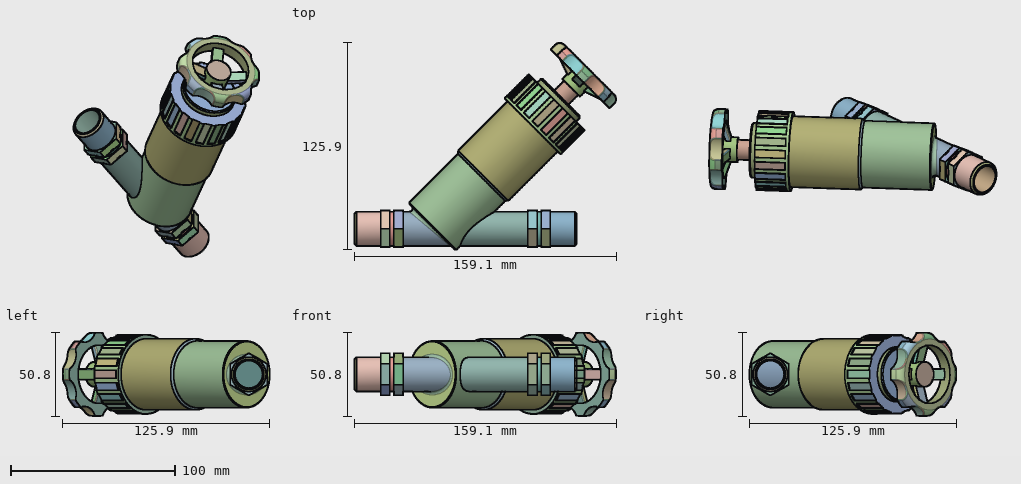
import cadquery as cq
import math

pipe_diameter = 21.0
bore_diameter = 16.7
pipe_start = -46.0
pipe_length = 135.0
pipe_end_chamfer = 1.3

hex_across_flats = 22.3
hex_across_corners = hex_across_flats / math.cos(math.pi / 6)
hex_width = 5.5
hex_offsets = (15.9, 24.0)

body_angle = 45.0
lower_diameter = 40.7
lower_base = 1.8
lower_top = 44.2
lower_edge_chamfer = 0.5
pipe_joint_fillet = 1.9
upper_diameter = 43.3
upper_base = 45.7
ring_diameter = 48.4
ring_base = 88.1
ring_height = 2.0
collar_top = 108.8
groove_count = 20
groove_width = 4.8
groove_depth = 0.6
cap_diameter = 33.5
cap_top = 112.8
cap_chamfer = 0.8
stem_diameter = 12.3

hub_diameter = 15.3
hub_base = 121.2
hub_top = 132.8
wheel_diameter = 50.8
wheel_radius = wheel_diameter / 2
wheel_base = 128.9
wheel_top = 136.8
wheel_edge_radius = 3.8
wheel_opening_diameter = 35.3
lobe_count = 8
lobe_width = 6.7
scallop_floor_radius = 22.0
scallop_edge_fillet = 0.6
spoke_count = 4
spoke_width = lobe_width
spoke_base = 125.4
spoke_height = 3.3
spoke_fillet = 0.6


def cylinder(diameter, base, top):
    """Round solid on the Z axis between two heights."""
    return cq.Workplane("XY").workplane(offset=base).circle(diameter / 2).extrude(top - base)


def polar(radius, angle):
    return radius * math.cos(angle), radius * math.sin(angle)


def incline(solid):
    """Lay a solid built along Z onto the inclined body axis; its X axis then points to +Z."""
    axis = math.radians(body_angle)
    plane = cq.Plane(
        origin=(0, 0, 0),
        xDir=(0, 0, 1),
        normal=(math.cos(axis), math.sin(axis), 0),
    )
    return cq.Workplane(obj=solid.val().moved(cq.Location(plane)))


def make_run_pipe():
    return (
        cq.Workplane("YZ")
        .workplane(offset=pipe_start)
        .circle(pipe_diameter / 2)
        .extrude(pipe_length)
        .faces("<X or >X")
        .chamfer(pipe_end_chamfer)
    )


def make_hex_collars():
    collars = cq.Workplane("YZ")
    for offset in hex_offsets:
        for start in (pipe_start + offset, pipe_start + pipe_length - offset - hex_width):
            collar = (
                cq.Workplane("YZ")
                .workplane(offset=start)
                .transformed(rotate=(0, 0, 90))
                .polygon(6, hex_across_corners)
                .extrude(hex_width)
            )
            collars = collars.add(collar)
    return collars.combine()


def make_bores():
    """Bore through the pipe, interrupted by the solid lower body."""
    bore = cq.Workplane("YZ").workplane(offset=pipe_start).circle(bore_diameter / 2).extrude(pipe_length)
    return bore.cut(incline(cylinder(lower_diameter, lower_base, lower_top)))


def make_lower_body():
    return cylinder(lower_diameter, lower_base, lower_top).faces("<Z").chamfer(lower_edge_chamfer)


def make_upper_body():
    """Stepped round upper body, its transition cone, the grooved collar, the cap and the stem."""
    outline = [
        (0, lower_top),
        (lower_diameter / 2, lower_top),
        (upper_diameter / 2, upper_base),
        (upper_diameter / 2, ring_base),
        (ring_diameter / 2, ring_base),
        (ring_diameter / 2, collar_top),
        (cap_diameter / 2, collar_top),
        (cap_diameter / 2, cap_top - cap_chamfer),
        (cap_diameter / 2 - cap_chamfer, cap_top),
        (stem_diameter / 2, cap_top),
        (stem_diameter / 2, hub_base),
        (0, hub_base),
    ]
    body = cq.Workplane("XZ").polyline(outline).close().revolve(360, (0, 0), (0, 1))
    groove_base = ring_base + ring_height
    groove_radius = ring_diameter / 2 - groove_depth
    grooves = (
        cq.Workplane("XY")
        .workplane(offset=groove_base)
        .polarArray(groove_radius + groove_depth, 0, 360, groove_count)
        .rect(2 * groove_depth, groove_width)
        .extrude(collar_top - groove_base)
    )
    return body.cut(grooves)


def make_rim():
    """Lobed handwheel rim with a rounded outer top edge."""
    arc_inset = wheel_edge_radius * (1 - math.sqrt(0.5))
    opening_radius = wheel_opening_diameter / 2
    rim = (
        cq.Workplane("XZ")
        .moveTo(opening_radius, wheel_base)
        .lineTo(wheel_radius, wheel_base)
        .lineTo(wheel_radius, wheel_top - wheel_edge_radius)
        .threePointArc(
            (wheel_radius - arc_inset, wheel_top - arc_inset),
            (wheel_radius - wheel_edge_radius, wheel_top),
        )
        .lineTo(opening_radius, wheel_top)
        .close()
        .revolve(360, (0, 0), (0, 1))
    )
    half_pitch = math.pi / lobe_count
    half_gap = half_pitch - math.asin(lobe_width / 2 / wheel_radius)
    corner_radial, corner_side = polar(wheel_radius, half_gap)
    sagitta = corner_radial - scallop_floor_radius
    scallop_radius = (corner_side ** 2 + sagitta ** 2) / (2 * sagitta)
    scallops = (
        cq.Workplane("XY")
        .workplane(offset=wheel_base)
        .polarArray(scallop_floor_radius + scallop_radius, math.degrees(half_pitch), 360, lobe_count)
        .circle(scallop_radius)
        .extrude(wheel_top - wheel_base)
    )
    return rim.cut(scallops).edges("%BSPLINE").fillet(scallop_edge_fillet)


def make_spokes():
    """Spokes that climb from the hub to the inner edge of the rim."""
    hub_radius = hub_diameter / 2
    opening_radius = wheel_opening_diameter / 2
    slope = (wheel_base - spoke_base) / (opening_radius - hub_radius)
    inner = hub_radius / 2
    outer = (opening_radius + scallop_floor_radius) / 2
    inner_height = spoke_base - slope * (hub_radius - inner)
    outer_height = wheel_base + slope * (outer - opening_radius)
    spoke = (
        cq.Workplane("XZ")
        .moveTo(inner, inner_height)
        .lineTo(outer, outer_height)
        .lineTo(outer, outer_height + spoke_height)
        .lineTo(inner, inner_height + spoke_height)
        .close()
        .extrude(spoke_width / 2, both=True)
        .edges(cq.selectors.ParallelDirSelector(cq.Vector(1, 0, slope)))
        .edges("<Z")
        .fillet(spoke_fillet)
    )
    spokes = cq.Workplane("XY")
    for i in range(spoke_count):
        spokes = spokes.add(spoke.rotate((0, 0, 0), (0, 0, 1), i * 360 / spoke_count))
    return spokes.combine()


def make_handwheel():
    hub = cylinder(hub_diameter, hub_base, hub_top)
    return hub.union(make_spokes()).union(make_rim())


def make_pipe_and_body():
    """Pipe joined to the lower body, with a fillet round the pipe on the flat lower end of the body."""
    solid = make_run_pipe().union(incline(make_lower_body()))
    axis_x, axis_y = polar(1, math.radians(body_angle))
    axis = cq.Vector(axis_x, axis_y, 0)
    tolerance = 0.2
    joint_edges = [
        edge
        for edge in solid.edges("%ELLIPSE").vals()
        if abs(edge.Center().dot(axis) - lower_base) < tolerance
    ]
    return solid.newObject(joint_edges).fillet(pipe_joint_fillet)


valve = make_pipe_and_body().union(make_hex_collars()).cut(make_bores())
result = valve.union(incline(make_upper_body())).union(incline(make_handwheel()))